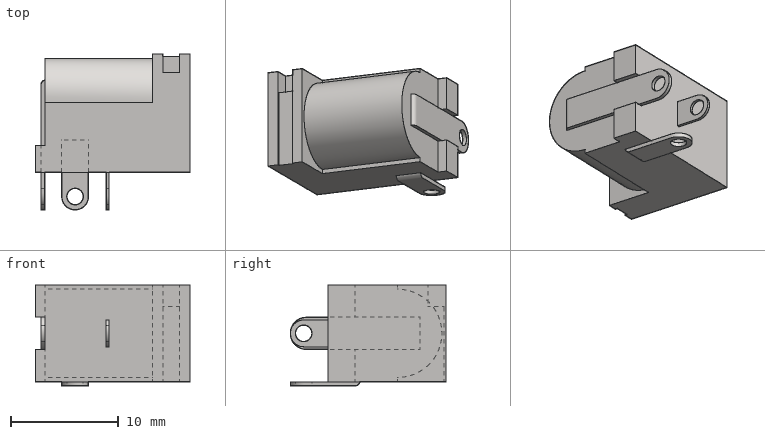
import cadquery as cq

length = 14.4
depth = 11.0
height = 9.0
mid_height = height / 2

lip_length = 0.9
lip_depth = 2.51

barrel_radius = 4.1
barrel_axis_y = 6.5
rear_block_start = 10.89

notch_start = 11.86
notch_width = 1.52
notch_bottom_y = 9.3
notch_drop = 2.0
groove_depth = 0.22

tip_reach = 3.5
wide_tab = 3.0
narrow_tab = 2.5
eye_radius = 0.75
eye_reach = tip_reach - narrow_tab / 2
thick_sheet = 0.39
thin_sheet = 0.28
bend_radius = 0.5
curl_height = 2 * bend_radius
end_tab_back = 8.6
bottom_tab_back = 3.0
bottom_tab_x = 3.7
middle_tab_x = 6.58


def box(x0, x1, y0, y1, z0, z1):
    """Box given by its limits along each axis."""
    return cq.Workplane("XY").box(x1 - x0, y1 - y0, z1 - z0, centered=False).translate((x0, y0, z0))


def terminal(width, thickness, back):
    """Flat strip centred on x = 0, rising from z = 0, with a round eyed tip toward -Y."""
    half = width / 2
    shoulder = half - tip_reach
    return (
        cq.Workplane("XY")
        .moveTo(-half, back)
        .lineTo(-half, shoulder)
        .threePointArc((0, -tip_reach), (half, shoulder))
        .lineTo(half, back)
        .close()
        .extrude(thickness)
        .cut(cq.Workplane("XY").center(0, -eye_reach).circle(eye_radius).extrude(thickness))
    )


def bent_terminal(width, back):
    """Terminal whose back end curls up into the housing; its outer face is at z = 0."""
    strip = terminal(width, curl_height, back).edges(">Y and <Z").fillet(bend_radius)
    spare = box(-width / 2, width / 2, -tip_reach, 0, thick_sheet, curl_height)
    return strip.cut(spare)


def stand_up(tab):
    """Turn a flat terminal on edge, so its outer face looks toward -X."""
    return tab.rotate((0, 0, 0), (0, 1, 0), 90)


housing = box(lip_length, length, 0, barrel_axis_y, 0, height)
lip = box(0, lip_length, 0, lip_depth, 0, height)
lip_slot = box(0, lip_length, 0, lip_depth, mid_height - wide_tab / 2, mid_height + wide_tab / 2)
barrel = (
    cq.Workplane("YZ", origin=(lip_length, barrel_axis_y, mid_height))
    .circle(barrel_radius)
    .extrude(rear_block_start - lip_length)
)
rear_block = box(rear_block_start, length, 0, depth, 0, height)

notch_end = notch_start + notch_width
groove = box(notch_start, notch_end, depth - groove_depth, depth, 0, height)
notch = box(notch_start, notch_end, notch_bottom_y, depth, height - notch_drop, height)

end_terminal = stand_up(bent_terminal(wide_tab, end_tab_back)).translate(
    (lip_length - thick_sheet, 0, mid_height)
)
bottom_terminal = bent_terminal(narrow_tab, bottom_tab_back).translate((bottom_tab_x, 0, -thick_sheet))
middle_terminal = stand_up(terminal(narrow_tab, thin_sheet, 0)).translate((middle_tab_x, 0, mid_height))

result = (
    housing.union(lip.cut(lip_slot))
    .union(barrel)
    .union(rear_block)
    .cut(groove)
    .cut(notch)
    .union(end_terminal)
    .union(bottom_terminal)
    .union(middle_terminal)
)